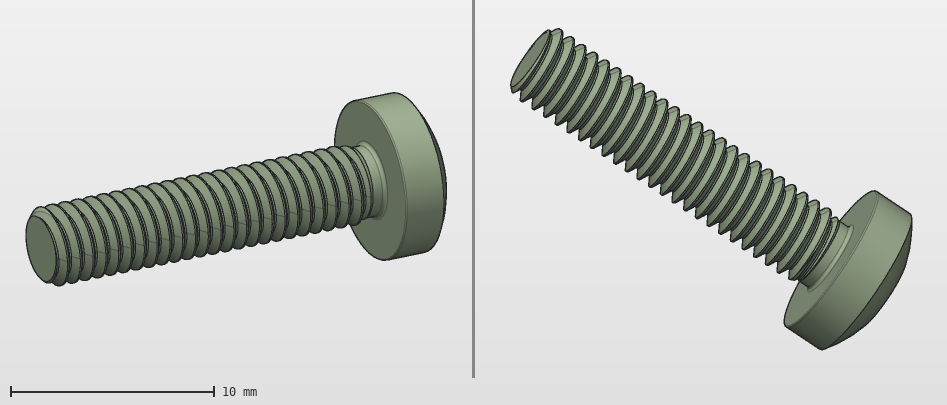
import cadquery as cq
import math


total_length = 21.1
head_height = 3.1
head_radius = 3.998
head_rim_height = 2.07
dome_radius = 6.5
head_edge_round = 0.06

shank_length = total_length - head_height
neck_radius = 1.77
neck_round = 0.2

thread_radius = 2.0
root_radius = 1.56
thread_turns = 24
threaded_length = 16.8
pitch = threaded_length / thread_turns
neck_length = pitch
flank_slope = math.tan(math.radians(30))
crest_width = pitch / 8

entry_slope = math.tan(math.radians(25))
tip_chamfer = 0.34

groove_start_pitches = 26.5
full_depth_turns = 25
groove_end_pitches = groove_start_pitches - full_depth_turns
runout_turns = 0.6
runout_angle = 31
cutter_overlap = 0.05


def head():
    dome_centre = head_rim_height - math.sqrt(dome_radius**2 - head_radius**2)

    def dome_point(y):
        return (math.sqrt(dome_radius**2 - (y - dome_centre)**2), y)

    rim = dome_point(head_rim_height)
    middle = dome_point((head_rim_height + head_height) / 2)
    top = dome_point(head_height)
    profile = (
        cq.Workplane("XY")
        .lineTo(head_radius, 0)
        .lineTo(*rim)
        .threePointArc(middle, top)
        .lineTo(0, head_height)
        .close()
    )
    solid = profile.revolve(360, (0, 0), (0, 1))
    return solid.faces("<Y").edges().fillet(head_edge_round)


def shank_blank():
    entry_length = (thread_radius - neck_radius) / entry_slope
    arc_inset = neck_round * (1 - math.sqrt(0.5))
    profile = (
        cq.Workplane("XY")
        .lineTo(neck_radius + neck_round, 0)
        .threePointArc((neck_radius + arc_inset, -arc_inset), (neck_radius, -neck_round))
        .lineTo(neck_radius, -neck_length)
        .lineTo(thread_radius, -neck_length - entry_length)
        .lineTo(thread_radius, tip_chamfer - shank_length)
        .lineTo(thread_radius - tip_chamfer, -shank_length)
        .lineTo(0, -shank_length)
        .close()
    )
    return profile.revolve(360, (0, 0), (0, 1))


def groove_cutter(start, path):
    outer_radius = thread_radius + cutter_overlap
    outer_half = (pitch - crest_width) / 2 + cutter_overlap * flank_slope
    root_half = outer_half - (outer_radius - root_radius) * flank_slope
    return (
        cq.Workplane("XZ")
        .moveTo(root_radius, start - root_half)
        .lineTo(outer_radius, start - outer_half)
        .lineTo(outer_radius, start + outer_half)
        .lineTo(root_radius, start + root_half)
        .close()
        .sweep(cq.Workplane(path), isFrenet=True)
        .rotate((0, 0, 0), (1, 0, 0), -90)
    )


def groove_turn(start):
    path = cq.Wire.makeHelix(pitch, pitch, root_radius, cq.Vector(0, 0, start))
    return groove_cutter(start, path)


def runout_groove():
    start = -groove_end_pitches * pitch
    height = runout_turns * pitch
    path = cq.Wire.makeHelix(
        pitch, height, root_radius, cq.Vector(0, 0, start), angle=runout_angle
    )
    return groove_cutter(start, path)


shank = shank_blank()
for turn in range(full_depth_turns):
    shank = shank.cut(groove_turn((turn - groove_start_pitches) * pitch))
shank = shank.cut(runout_groove())

result = head().union(shank)